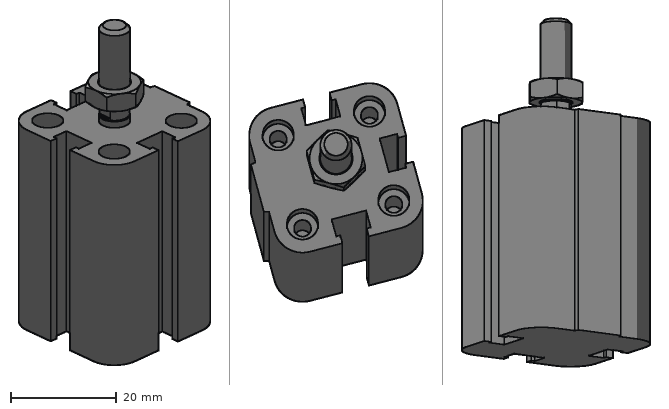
import cadquery as cq
import math

HOUSING_WIDTH = 29.0
HOUSING_HEIGHT = 43.0
CORNER_RADIUS = 5.5
HALF_WIDTH = HOUSING_WIDTH / 2

RIB_HEIGHT = 0.95
RIB_BASE_WIDTH = 10.05
RIB_TOP_WIDTH = 9.5

SLOT_MOUTH_WIDTH = 5.2
SLOT_CHAMBER_WIDTH = 6.8
SLOT_LIP_THICKNESS = 1.6
SLOT_DEPTH = 5.0
SLOT_ANGLES = (0, 90, 180)

HOLE_SPACING = 18.0
HOLE_DIAMETER = 3.25
HOLE_DEPTH = 12.5
COUNTERBORE_DIAMETER = 6.0
COUNTERBORE_DEPTH = 3.5

NUT_FLATS = 10.05
NUT_HEIGHT = 3.75
NUT_BOTTOM = 47.55
NUT_BEVEL_ANGLE = 30
NUT_BORE_CHAMFER = 0.2
NUT_CORNERS = NUT_FLATS / math.cos(math.radians(30))

ROD_DIAMETER = 6.0
ROD_TOP = 63.5
ROD_TIP_CHAMFER = 0.75
COLLAR_HEIGHT = 1.5
COLLAR_CHAMFER_HEIGHT = 0.2
NECK_DIAMETER = 5.8
RELIEF_HEIGHT = 0.2
FLATS_DISTANCE = 5.0
RELIEF_DIAMETER = FLATS_DISTANCE
FLATS_START = 1.9
FLATS_BOTTOM = HOUSING_HEIGHT + FLATS_START
COLLAR_TOP = HOUSING_HEIGHT + COLLAR_HEIGHT
NECK_TOP = NUT_BOTTOM - RELIEF_HEIGHT


def make_slot():
    """Undercut slot along the whole housing, open to the -X side."""
    chamber_depth = SLOT_DEPTH - SLOT_LIP_THICKNESS
    mouth = cq.Workplane("XY").box(
        SLOT_DEPTH, SLOT_MOUTH_WIDTH, HOUSING_HEIGHT, centered=(False, True, False)
    )
    chamber = (
        cq.Workplane("XY")
        .box(chamber_depth, SLOT_CHAMBER_WIDTH, HOUSING_HEIGHT, centered=(False, True, False))
        .translate((SLOT_LIP_THICKNESS, 0, 0))
    )
    return mouth.union(chamber).translate((-HALF_WIDTH, 0, 0))


def make_rib():
    """Low rib with sloped flanks along the +Y side."""
    return (
        cq.Workplane("XY")
        .polyline([
            (-RIB_BASE_WIDTH / 2, HALF_WIDTH),
            (RIB_BASE_WIDTH / 2, HALF_WIDTH),
            (RIB_TOP_WIDTH / 2, HALF_WIDTH + RIB_HEIGHT),
            (-RIB_TOP_WIDTH / 2, HALF_WIDTH + RIB_HEIGHT),
        ])
        .close()
        .extrude(HOUSING_HEIGHT)
    )


def make_housing():
    """Cylinder housing with its base on Z = 0."""
    body = (
        cq.Workplane("XY")
        .rect(HOUSING_WIDTH, HOUSING_WIDTH)
        .extrude(HOUSING_HEIGHT)
        .edges("|Z")
        .fillet(CORNER_RADIUS)
        .union(make_rib())
    )
    slot = make_slot()
    for angle in SLOT_ANGLES:
        body = body.cut(slot.rotate((0, 0, 0), (0, 0, 1), angle))
    return (
        body.faces(">Z")
        .workplane(origin=(0, 0, HOUSING_HEIGHT))
        .rect(HOLE_SPACING, HOLE_SPACING, forConstruction=True)
        .vertices()
        .cboreHole(HOLE_DIAMETER, COUNTERBORE_DIAMETER, COUNTERBORE_DEPTH, HOLE_DEPTH)
    )


def make_rod_cylinder(diameter, bottom, top):
    """Round stretch of the rod between two heights."""
    return cq.Workplane("XY", origin=(0, 0, bottom)).circle(diameter / 2).extrude(top - bottom)


def make_neck():
    """Rod neck with wrench flats facing -Y and +Y."""
    neck = make_rod_cylinder(NECK_DIAMETER, COLLAR_TOP, NECK_TOP)
    outside_flats = (
        cq.Workplane("XY", origin=(0, 0, FLATS_BOTTOM))
        .rect(2 * NECK_DIAMETER, 2 * NECK_DIAMETER)
        .rect(2 * NECK_DIAMETER, FLATS_DISTANCE)
        .extrude(NECK_TOP - FLATS_BOTTOM)
    )
    return neck.cut(outside_flats)


def make_rod():
    """Piston rod standing on the housing's top face."""
    collar_step = (ROD_DIAMETER - NECK_DIAMETER) / 2
    collar = (
        make_rod_cylinder(ROD_DIAMETER, HOUSING_HEIGHT, COLLAR_TOP)
        .faces(">Z")
        .chamfer(COLLAR_CHAMFER_HEIGHT, collar_step)
    )
    relief = make_rod_cylinder(RELIEF_DIAMETER, NECK_TOP, NUT_BOTTOM)
    thread = make_rod_cylinder(ROD_DIAMETER, NUT_BOTTOM, ROD_TOP).faces(">Z").chamfer(ROD_TIP_CHAMFER)
    return collar.union(make_neck()).union(relief).union(thread)


def make_nut():
    """Hexagon nut with corners on the X axis, bevelled at both ends."""
    hexagon = cq.Workplane("XY").polygon(6, NUT_CORNERS).extrude(NUT_HEIGHT)
    flat_radius = NUT_FLATS / 2
    corner_radius = NUT_CORNERS / 2
    bevel_drop = (corner_radius - flat_radius) * math.tan(math.radians(NUT_BEVEL_ANGLE))
    bevel_envelope = (
        cq.Workplane("XZ")
        .polyline([
            (0, 0),
            (flat_radius, 0),
            (corner_radius, bevel_drop),
            (corner_radius, NUT_HEIGHT - bevel_drop),
            (flat_radius, NUT_HEIGHT),
            (0, NUT_HEIGHT),
        ])
        .close()
        .revolve(360, (0, 0, 0), (0, 1, 0))
    )
    bore = cq.Workplane("XY").circle(ROD_DIAMETER / 2).extrude(NUT_HEIGHT)
    nut = hexagon.intersect(bevel_envelope).cut(bore)
    bore_rims = nut.edges("%CIRCLE").edges(cq.selectors.RadiusNthSelector(0))
    nut = bore_rims.chamfer(NUT_BORE_CHAMFER)
    return nut.translate((0, 0, NUT_BOTTOM))


housing = make_housing()
rod = make_rod()
nut = make_nut()
result = cq.Compound.makeCompound([housing.val(), rod.val(), nut.val()])